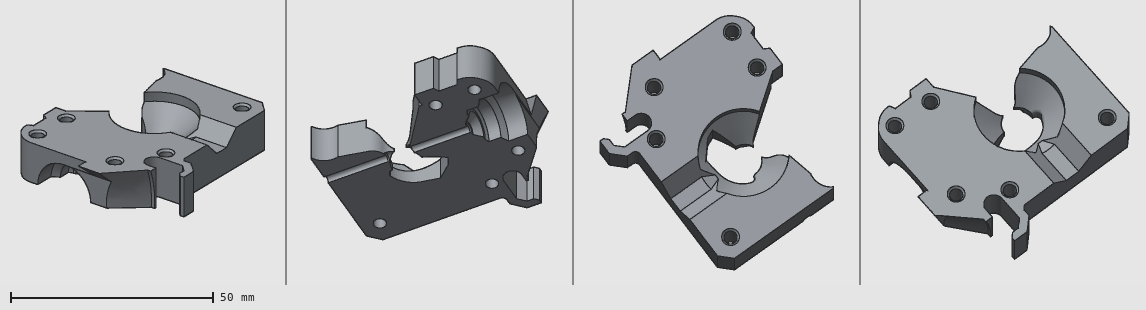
import cadquery as cq
import math

LENGTH_X = 48.0
LENGTH_Y = 54.85
THICKNESS = 11.0
MARGIN = 0.55

BODY_RIGHT = 41.95
CORNER_RADIUS = 6.05
CORNER_ARC_OFFSET = 0.55
CORNER_FLAT = ((1.8, 5.25), (2.4, 4.65))
LIP_LEFT = 23.6
LIP_RIGHT = 30.1
TAB_ROOT = 38.5
TAB_TIP = 39.5
SLOT_LEFT = 34.5
HOOK_FILLET = 1.3
CORNER_CUT = 3.0

FRONT = 2.95
TAB_BOTTOM = 8.65
SLOT_BOTTOM = 10.8
SLOT_TOP = 15.8
SLOT_RADIUS = (SLOT_TOP - SLOT_BOTTOM) / 2
HOOK_TOP = 18.1
SHOULDER = 21.85
SHOULDER_X = 2.95

HOOK_POINTS = [
    (43.95, SLOT_TOP),
    (45.85, 13.9),
    (45.85, 12.0),
    (46.9, 10.95),
    (LENGTH_X, 10.95),
    (LENGTH_X, 14.9),
    (44.8, HOOK_TOP),
]
UPPER_LEFT_TIP = [(8.6, LENGTH_Y), (8.35, 54.6)]
UPPER_LEFT_HOLLOW = ((10.55, 52.25), (10.9, 48.55))
GEAR_EASING = ((12.55, 41.0), (13.35, 39.35))
LEFT_NOTCH = [(0, 16.7), (1.5, 15.85), (1.5, 10.8), (0, 10.1)]

FILAMENT_X = 16.85
BOWL_X = 21.1
GEAR_Y = 34.35
BOWL_RADIUS = 11.25
BOWL_RIM_Z = 8.45
BOWL_SLOPE = 0.9
GEAR_RADIUS = 4.2
EASING_JOIN_ANGLE = 64
SLANT_JOIN_ANGLE = -56
GEAR_OFFSET = 3.9
POCKET_RIM_FILLET = 1.1
GEAR_TIP = math.sqrt(GEAR_RADIUS**2 - GEAR_OFFSET**2)

POCKET_LEFT = 20.45
POCKET_LEFT_END_Y = 29.85
POCKET_LEFT_ARC = ((21.95, 26.7), (23.3, 24.4))
POCKET_RIGHT_WALL = [(25.6, 25.45), (28.95, 29.3), (28.0, GEAR_Y)]
POCKET_REAR_ARC = ((26.35, 37.5), (22.75, 40.05))
POCKET_CORNER_ARC = ((21.55, 39.6), (21.05, 38.5))

CHANNEL_HALF_TOP = 6.0
CHANNEL_HALF_FLOOR = 2.0
CHANNEL_DEPTH = CHANNEL_HALF_TOP - CHANNEL_HALF_FLOOR
CHANNEL_RAMP_OUTER = 11.5
CHANNEL_RAMP_SLOPE = 0.4

HOLE_DIAMETER = 3.3
HOLE_RIM_DIAMETER = 4.4
HOLE_CENTERS = [(36.5, 49.85), (36.5, 18.8), (5.55, 18.8), (5.05, 7.8), (29.0, 7.8)]

RECESS_DEPTH = 0.2
RECESS_TOP = 7.85
SCOOP_START_X = 24.7
SCOOP_START_DEPTH = 4.4
SCOOP_TAB_DEPTH = 1.55
SCOOP_BULGE = 0.88

BORE_STEPS = [
    (-FRONT - MARGIN, 8.1),
    (5.45, 8.1),
    (6.6, 6.1),
    (9.9, 6.1),
    (10.3, 4.95),
    (10.3, 4.05),
    (12.3, 2.1),
    (12.3, 1.5),
    (12.6, 1.15),
    (28.5, 1.15),
    (28.5, 1.5),
    (35.0, 1.5),
    (35.3, 1.15),
    (LENGTH_Y, 1.15),
]

RELIEF_X = 4.0
RELIEF_Y_SIZE = 1.1
RELIEF_HEIGHT = 3.95


def point_on_gear(center_x, degrees):
    """Point on a gear circle, the angle counted from +X."""
    angle = math.radians(degrees)
    return (center_x + GEAR_RADIUS * math.cos(angle), GEAR_Y + GEAR_RADIUS * math.sin(angle))


def plate():
    flat_start, flat_end = CORNER_FLAT
    corner_start = (0, FRONT + CORNER_RADIUS + CORNER_ARC_OFFSET)
    corner_end = (CORNER_RADIUS + CORNER_ARC_OFFSET, FRONT)
    easing_start, easing_middle = GEAR_EASING
    outer_gear_x = FILAMENT_X - GEAR_OFFSET
    lower_tip = (FILAMENT_X, GEAR_Y - GEAR_TIP)
    upper_tip = (FILAMENT_X, GEAR_Y + GEAR_TIP)
    upper_join = point_on_gear(outer_gear_x, EASING_JOIN_ANGLE)
    lower_join = point_on_gear(outer_gear_x, SLANT_JOIN_ANGLE)
    tip_angle = math.degrees(math.asin(GEAR_TIP / GEAR_RADIUS))
    upper_middle = point_on_gear(outer_gear_x, (EASING_JOIN_ANGLE + tip_angle) / 2)
    lower_middle = point_on_gear(outer_gear_x, (SLANT_JOIN_ANGLE - tip_angle) / 2)
    gap_middle = point_on_gear(FILAMENT_X + GEAR_OFFSET, 0)
    outline = (
        cq.Workplane("XY")
        .moveTo(*corner_end)
        .lineTo(LIP_LEFT, FRONT)
        .lineTo(LIP_LEFT, 0)
        .lineTo(LIP_RIGHT, 0)
        .lineTo(TAB_ROOT, TAB_BOTTOM)
        .lineTo(TAB_TIP, TAB_BOTTOM)
        .lineTo(TAB_TIP, SLOT_BOTTOM)
        .lineTo(SLOT_LEFT + SLOT_RADIUS, SLOT_BOTTOM)
        .threePointArc((SLOT_LEFT, SLOT_BOTTOM + SLOT_RADIUS), (SLOT_LEFT + SLOT_RADIUS, SLOT_TOP))
        .polyline(HOOK_POINTS, includeCurrent=True)
        .lineTo(BODY_RIGHT + HOOK_FILLET, HOOK_TOP)
        .radiusArc((BODY_RIGHT, HOOK_TOP + HOOK_FILLET), HOOK_FILLET)
        .lineTo(BODY_RIGHT, LENGTH_Y - CORNER_CUT)
        .lineTo(BODY_RIGHT - CORNER_CUT, LENGTH_Y)
        .polyline(UPPER_LEFT_TIP, includeCurrent=True)
        .threePointArc(*UPPER_LEFT_HOLLOW)
        .lineTo(*easing_start)
        .threePointArc(easing_middle, upper_join)
        .threePointArc(upper_middle, upper_tip)
        .threePointArc(gap_middle, lower_tip)
        .threePointArc(lower_middle, lower_join)
        .lineTo(SHOULDER_X, SHOULDER)
        .lineTo(0, SHOULDER)
        .polyline(LEFT_NOTCH, includeCurrent=True)
        .lineTo(*corner_start)
        .radiusArc(flat_start, -CORNER_RADIUS)
        .lineTo(*flat_end)
        .radiusArc(corner_end, -CORNER_RADIUS)
        .close()
    )
    return outline.extrude(THICKNESS)


def about_bowl_axis(profile_points):
    """Solid of revolution about the bowl axis from (radius, height) points."""
    return (
        cq.Workplane("XZ")
        .polyline(profile_points)
        .close()
        .revolve(360, (0, 0, 0), (0, 1, 0))
        .translate((BOWL_X, GEAR_Y, 0))
    )


def bowl():
    apex_z = BOWL_RIM_Z - BOWL_SLOPE * BOWL_RADIUS
    return about_bowl_axis([
        (0, apex_z),
        (BOWL_RADIUS, BOWL_RIM_Z),
        (BOWL_RADIUS, THICKNESS + MARGIN),
        (0, THICKNESS + MARGIN),
    ])


def gear_pocket():
    """Opening through the bowl floor that widens to the right and toward the front."""
    left_middle, front_left = POCKET_LEFT_ARC
    rear_middle, rear_end = POCKET_REAR_ARC
    corner_middle, corner_end = POCKET_CORNER_ARC
    return (
        cq.Workplane("XY")
        .moveTo(POCKET_LEFT, GEAR_Y)
        .lineTo(POCKET_LEFT, POCKET_LEFT_END_Y)
        .threePointArc(left_middle, front_left)
        .polyline(POCKET_RIGHT_WALL, includeCurrent=True)
        .threePointArc(rear_middle, rear_end)
        .threePointArc(corner_middle, corner_end)
        .close()
        .extrude(THICKNESS)
    )


def shaft_channel():
    length = BODY_RIGHT - BOWL_X + MARGIN
    floor_z = THICKNESS - CHANNEL_DEPTH
    top_half = CHANNEL_HALF_TOP + MARGIN

    def prism(floor_half, bottom_z):
        return (
            cq.Workplane("YZ", origin=(BOWL_X, GEAR_Y, 0))
            .polyline([
                (-top_half, THICKNESS + MARGIN),
                (-floor_half, bottom_z),
                (floor_half, bottom_z),
                (top_half, THICKNESS + MARGIN),
            ])
            .close()
            .extrude(length)
        )

    ramp = about_bowl_axis([
        (0, floor_z - CHANNEL_RAMP_SLOPE * CHANNEL_RAMP_OUTER),
        (CHANNEL_RAMP_OUTER, floor_z),
        (CHANNEL_RAMP_OUTER, THICKNESS),
        (0, THICKNESS),
    ])
    sliver = 0.005
    deep = prism(sliver, floor_z - CHANNEL_HALF_FLOOR + sliver)
    return prism(CHANNEL_HALF_FLOOR, floor_z).union(deep.intersect(ramp))


def screw_holes():
    shank = cq.Workplane("XY").pushPoints(HOLE_CENTERS).circle(HOLE_DIAMETER / 2).extrude(THICKNESS)
    chamfer = (HOLE_RIM_DIAMETER - HOLE_DIAMETER) / 2
    rims = (
        cq.Workplane("XY", origin=(0, 0, THICKNESS))
        .pushPoints(HOLE_CENTERS)
        .circle(HOLE_RIM_DIAMETER / 2)
        .extrude(-chamfer, taper=45)
    )
    return shank.union(rims)


def filament_bore():
    points = [(radius, FRONT + depth) for depth, radius in BORE_STEPS]
    points += [(0, points[-1][1]), (0, points[0][1])]
    return (
        cq.Workplane("XY")
        .polyline(points)
        .close()
        .revolve(360, (0, 0, 0), (0, 1, 0))
        .translate((FILAMENT_X, 0, 0))
    )


def lip_undercut():
    """Leaves the front lip with a 45 degree underside and recesses the wall below it."""
    back = FRONT + RECESS_DEPTH
    reach = back + MARGIN
    underside = (
        cq.Workplane("YZ", origin=(FILAMENT_X, 0, 0))
        .polyline([(-MARGIN, -MARGIN), (back, -MARGIN), (back, RECESS_TOP), (-MARGIN, RECESS_TOP + reach)])
        .close()
        .extrude(TAB_TIP - FILAMENT_X)
    )
    left_end = (
        cq.Workplane("XZ", origin=(0, FRONT, 0))
        .polyline([(LIP_LEFT, 0), (LIP_LEFT, THICKNESS), (LIP_LEFT + THICKNESS, 0)])
        .close()
        .extrude(FRONT + MARGIN)
    )
    return underside.union(left_end)


def corner_scoop():
    """Ruled hollow under the slanted corner and the tab, arc shaped in every section along X."""
    corner_slope = TAB_BOTTOM / (TAB_ROOT - LIP_RIGHT)
    start_y = TAB_BOTTOM - corner_slope * (TAB_ROOT - SCOOP_START_X)
    front_y = start_y - MARGIN

    def ruled_part(x_start, top_y_start, depth_start, x_end):
        sketch = cq.Workplane("YZ", origin=(x_start, 0, 0))
        for offset, top_y, depth in (
            (0, top_y_start, depth_start),
            (x_end - x_start, TAB_BOTTOM, SCOOP_TAB_DEPTH),
        ):
            sketch = (
                sketch.workplane(offset=offset, origin=(x_start, 0, 0))
                .moveTo(top_y + depth, 0)
                .threePointArc((top_y + SCOOP_BULGE * depth, THICKNESS / 2), (top_y, THICKNESS))
                .lineTo(front_y, THICKNESS)
                .lineTo(front_y, 0)
                .close()
            )
        return sketch.loft(ruled=True)

    under_corner = ruled_part(SCOOP_START_X, start_y, SCOOP_START_DEPTH, TAB_ROOT)
    under_tab = ruled_part(TAB_ROOT, TAB_BOTTOM, SCOOP_TAB_DEPTH, TAB_TIP + MARGIN)
    return under_corner.union(under_tab)


def wall_relief():
    relief = cq.Workplane("XY").box(RELIEF_X, RELIEF_Y_SIZE, RELIEF_HEIGHT, centered=False)
    return relief.translate((0, SHOULDER, 0))


def pocket_rim(body):
    """The two curved edges where the arcs of the pocket wall run out into the bowl cone."""
    low_corner = (BOWL_X, GEAR_Y, 0.55)
    high_corner = (BOWL_X + BOWL_RADIUS, GEAR_Y + BOWL_RADIUS, BOWL_RIM_Z - 0.55)
    return body.edges("not %LINE").edges(cq.selectors.BoxSelector(low_corner, high_corner))


body = plate().cut(bowl()).cut(gear_pocket())
result = pocket_rim(body).fillet(POCKET_RIM_FILLET)
for tool in (shaft_channel(), screw_holes(), filament_bore(),
             lip_undercut(), corner_scoop(), wall_relief()):
    result = result.cut(tool)